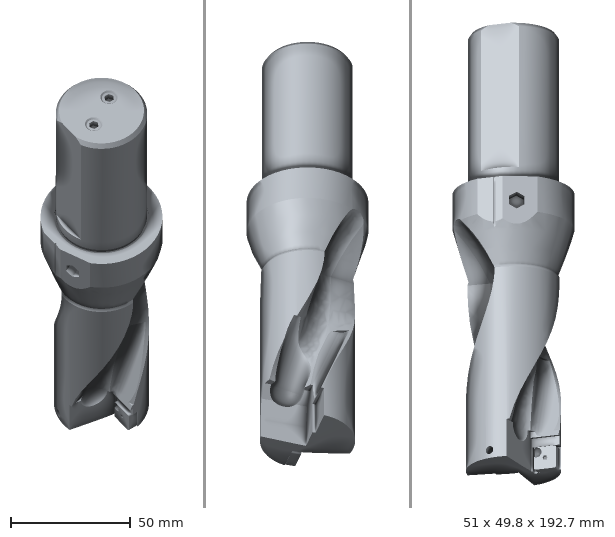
import cadquery as cq
import math


total_length = 192.7
shank_radius = 19.0
shank_chamfer_width = 1.3
shank_chamfer_height = 2.0
shank_bottom = 124.3
neck_radius = 18.5
neck_groove_radius = 19.7
neck_groove_depth = 0.5
collar_radius = 25.5
collar_top = 123.0
collar_bottom = 107.3
cone_bottom = 86.0
cone_bottom_radius = 19.3
body_radius = 19.8
body_top = 84.6
tip_rise = 1.0

shank_flat_y = -17.2
shank_flat_bottom = 128.7
collar_flat_y = -24.3
tilted_flat_start_x = 3.7
tilted_flat_angle = 22.0
mark_width = 0.8
mark_depth = 0.5

flute_twist = 84.0
twist_start = 7.7
twist_end = body_top
twist_steps = 8
channel_bottom = 17.3
channel_radius = 7.5
channel_x = -9.5
channel_y = 9.8
wall_edge_x = -3.7
face_edge_y = -0.5
flute_reach = 34.7
runout_height = 24.0
runout_shift = 19.3
runout_middle_shift = 7.7
runout_angle = 222.0

centre_wall_x = 2.3
centre_wall_straight_top = 9.6
centre_wall_shoulder_x = 0.5
centre_wall_shoulder_z = 19.0
centre_pocket_top = 24.0
centre_groove_start = (-1.0, 9.8, 24.5)
centre_groove_direction = (-0.8, -0.2, 1.0)
centre_groove_length = 30.8

chip_wall_outer_x = -3.7
chip_wall_inner_x = -7.5
chip_face_y = 0.0
recess_top = 14.8
recess_depth = 1.3
relief_slope = -0.39
relief_height = 38.5
relief_wall_x = -8.0
relief_radius = 3.9
relief_width = 7.7
insert_bottom = 0.5
insert_size = 9.8
insert_x = 13.9
insert_thickness = 4.2
insert_corner = 0.8
seat_top = 11.0
insert_plane = cq.Plane((insert_x, 0, insert_bottom + insert_size / 2), (1, 0, 0), (0, -1, 0))
seat_side_clearance = 1.2
dimple_radius = 2.1
dimple_x = 10.2
dimple_z = 8.0
screw_head_radius = 2.5
screw_head_height = 2.0
screw_radius = 1.5
screw_length = 9.6
screw_socket = 2.1
screw_socket_depth = 1.2

small_hole_radius = 1.7
small_hole_x = -3.9
small_hole_z = 4.5
small_hole_bottom_y = -11.5

hex_sides = 6
side_plug_x = 9.0
side_plug_z = 112.3
side_plug_radius = 6.4
side_plug_length = 7.7
side_socket = 7.3
side_socket_depth = 4.8
end_plug_x = 3.9
end_plug_y = 7.0
end_plug_radius = 3.0
end_plug_length = 7.7
end_plug_recess = 0.5
end_socket = 4.2
end_socket_depth = 2.9
end_plug_points = [(-end_plug_x, end_plug_y), (end_plug_x, -end_plug_y)]


def twist_at(z):
    """Flute rotation at height z: an S-shaped rise from 0 to the full twist."""
    t = min(max((z - twist_start) / (twist_end - twist_start), 0.0), 1.0)
    return flute_twist * t * t * (3.0 - 2.0 * t)


def turned_blank():
    shank_end_radius = shank_radius - shank_chamfer_width
    groove_floor = collar_top - neck_groove_depth
    profile = [
        (0, 0), (body_radius, tip_rise), (body_radius, body_top),
        (cone_bottom_radius, cone_bottom), (collar_radius, collar_bottom),
        (collar_radius, collar_top), (neck_groove_radius, collar_top),
        (neck_groove_radius, groove_floor), (neck_radius, groove_floor), (neck_radius, shank_bottom),
        (shank_radius, shank_bottom), (shank_radius, total_length - shank_chamfer_height),
        (shank_end_radius, total_length), (0, total_length),
    ]
    return cq.Workplane("XZ").polyline(profile).close().revolve(360, (0, 0), (0, 1))


def tilted_flat_plane():
    """Plane of the tilted collar flat, centred on the side plug, its normal pointing outward."""
    angle = math.radians(tilted_flat_angle)
    rise = (side_plug_x - tilted_flat_start_x) * math.tan(angle)
    return cq.Plane((side_plug_x, collar_flat_y + rise, side_plug_z), (math.cos(angle), math.sin(angle), 0),
                    (math.sin(angle), -math.cos(angle), 0))


def cut_flats(blank):
    size = 4 * collar_radius
    shank_flat = (cq.Workplane("XY").workplane(offset=shank_flat_bottom)
                  .center(0, shank_flat_y - size / 2).rect(size, size).extrude(size))
    collar_flat = cq.Workplane("XY").center(0, collar_flat_y - size / 2).rect(size, size).extrude(collar_top)
    tilted_flat = cq.Workplane(tilted_flat_plane()).rect(size, size).extrude(size)
    mark = (cq.Workplane("XY").center(0, collar_flat_y).rect(mark_width, 2 * mark_depth)
            .extrude(collar_top))
    return blank.cut(shank_flat).cut(collar_flat).cut(tilted_flat).cut(mark)


def flute_section(z, shift=0.0):
    """Flute outline at height z, moved out along the runout direction by shift."""
    diagonal = channel_radius * math.sqrt(0.5)
    angle = math.radians(runout_angle)
    offset = cq.Vector(shift * math.cos(angle), shift * math.sin(angle), z)
    wire = (
        cq.Workplane("XY")
        .moveTo(wall_edge_x, flute_reach)
        .lineTo(wall_edge_x, body_radius)
        .lineTo(channel_x + channel_radius, channel_y)
        .threePointArc((channel_x + diagonal, channel_y - diagonal), (channel_x, channel_y - channel_radius))
        .lineTo(-body_radius, face_edge_y)
        .lineTo(-flute_reach, face_edge_y)
        .lineTo(-flute_reach, flute_reach)
        .close().val()
    )
    wire = wire.rotate(cq.Vector(0, 0, 0), cq.Vector(0, 0, 1), twist_at(z))
    return wire.translate(offset)


def flute_cutters():
    pitch = (twist_end - channel_bottom) / twist_steps
    sections = [flute_section(channel_bottom + i * pitch) for i in range(twist_steps + 1)]
    channel = cq.Workplane(cq.Solid.makeLoft(sections, False))
    runout_shifts = [0, runout_middle_shift, runout_shift]
    runout_step = runout_height / (len(runout_shifts) - 1)
    runout_sections = [flute_section(twist_end + i * runout_step, shift)
                       for i, shift in enumerate(runout_shifts)]
    runout = cq.Workplane(cq.Solid.makeLoft(runout_sections, False))
    ball = (cq.Workplane("XY").sphere(channel_radius).translate((channel_x, channel_y, 0))
            .rotate((0, 0, 0), (0, 0, 1), twist_at(channel_bottom)).translate((0, 0, channel_bottom)))
    return [channel, runout, ball]


def chip_pocket_cutters():
    pocket = (cq.Workplane("XY")
              .polyline([(chip_wall_outer_x, body_radius), (chip_wall_inner_x, chip_face_y),
                         (-flute_reach, chip_face_y), (-flute_reach, flute_reach),
                         (chip_wall_outer_x, flute_reach)])
              .close().extrude(channel_bottom))
    recess = cq.Workplane("XY").box(flute_reach, flute_reach, recess_top, centered=False).translate(
        (chip_wall_inner_x - flute_reach, -recess_depth, 0))
    return [pocket, recess]


def relief_cutter():
    """Round-cornered groove leaning away from the chip face above the recess."""
    wall = relief_wall_x
    corner_end = wall - relief_radius
    corner_inset = relief_radius * (1 - math.sqrt(0.5))
    base = (cq.Workplane("XY").workplane(offset=recess_top)
            .moveTo(wall, relief_width).lineTo(wall, relief_radius)
            .threePointArc((wall - corner_inset, corner_inset), (corner_end, chip_face_y))
            .lineTo(-flute_reach, chip_face_y).lineTo(-flute_reach, relief_width).close().wires().val())
    lift = cq.Vector(0, relief_slope * relief_height, relief_height)
    return cq.Workplane(cq.Solid.extrudeLinear(base, [], lift))


def cut_flutes(blank):
    for cutter in flute_cutters() + chip_pocket_cutters() + [relief_cutter()]:
        for turn in (0, 180):
            blank = blank.cut(cutter.rotate((0, 0, 0), (0, 0, 1), turn))
    return blank


def cut_centre_pocket(blank):
    pocket = (cq.Workplane("XZ")
              .polyline([(centre_wall_x, 0), (centre_wall_x, centre_wall_straight_top),
                         (centre_wall_shoulder_x, centre_wall_shoulder_z),
                         (chip_wall_outer_x, centre_pocket_top),
                         (-flute_reach, centre_pocket_top), (-flute_reach, 0)])
              .close().extrude(-flute_reach))
    axis = cq.Plane(centre_groove_start, (0, 1, 0), centre_groove_direction)
    groove = cq.Workplane(axis).circle(channel_radius).extrude(centre_groove_length)
    groove_end = cq.Workplane("XY").sphere(channel_radius).translate(centre_groove_start)
    return blank.cut(pocket).cut(groove).cut(groove_end)


def insert_blank():
    return (cq.Workplane(insert_plane).rect(insert_size, insert_size).extrude(-insert_thickness)
            .edges("|Y").fillet(insert_corner))


def screw_blank():
    head = cq.Workplane(insert_plane).circle(screw_head_radius).extrude(-screw_head_height)
    stem = cq.Workplane(insert_plane).circle(screw_radius).extrude(-screw_length)
    return head.union(stem)


def make_insert():
    dimple = cq.Workplane("XY").sphere(dimple_radius).translate((dimple_x, 0, dimple_z))
    return insert_blank().cut(dimple).cut(screw_blank())


def make_insert_screw():
    socket = cq.Workplane(insert_plane).polygon(hex_sides, screw_socket).extrude(-screw_socket_depth)
    return screw_blank().cut(socket)


def cut_insert_seat(blank):
    left = insert_x - insert_size / 2 - seat_side_clearance
    seat = cq.Workplane("XY").box(flute_reach, insert_thickness, seat_top,
                                  centered=False).translate((left, 0, 0))
    return blank.cut(seat).cut(screw_blank())


def cut_small_hole(blank):
    hole = (cq.Workplane("XZ", origin=(small_hole_x, small_hole_bottom_y, small_hole_z))
            .circle(small_hole_radius).extrude(flute_reach))
    return blank.cut(hole)


def side_plug_bore():
    return cq.Workplane(tilted_flat_plane()).circle(side_plug_radius).extrude(
        side_plug_length, both=True)


def make_side_plug(envelope):
    socket = (cq.Workplane(tilted_flat_plane()).transformed(rotate=(0, 0, 90))
              .polygon(hex_sides, side_socket).extrude(-side_socket_depth))
    return envelope.intersect(side_plug_bore()).cut(socket)


def cut_end_plug_holes(blank):
    top = cq.Workplane("XY").workplane(offset=total_length)
    for point in end_plug_points:
        hole = top.center(*point).circle(end_plug_radius).extrude(-end_plug_recess - end_plug_length)
        lead_in = (top.center(*point).circle(end_plug_radius + end_plug_recess)
                   .extrude(-end_plug_recess, taper=45))
        blank = blank.cut(hole).cut(lead_in)
    return blank


def make_end_plug(point):
    face = cq.Workplane("XY").workplane(offset=total_length - end_plug_recess).center(*point)
    socket = face.transformed(rotate=(0, 0, 90)).polygon(hex_sides, end_socket).extrude(-end_socket_depth)
    return face.circle(end_plug_radius).extrude(-end_plug_length).cut(socket)


envelope = cut_flats(turned_blank())
side_plug = make_side_plug(envelope)
drill_body = cut_centre_pocket(cut_flutes(envelope)).cut(side_plug_bore())
drill_body = cut_end_plug_holes(cut_small_hole(cut_insert_seat(drill_body)))
insert = make_insert()
insert_screw = make_insert_screw()
end_plugs = [make_end_plug(point) for point in end_plug_points]

bodies = [drill_body, insert, insert_screw, side_plug, *end_plugs]
result = cq.Compound.makeCompound([body.solids().val() for body in bodies])